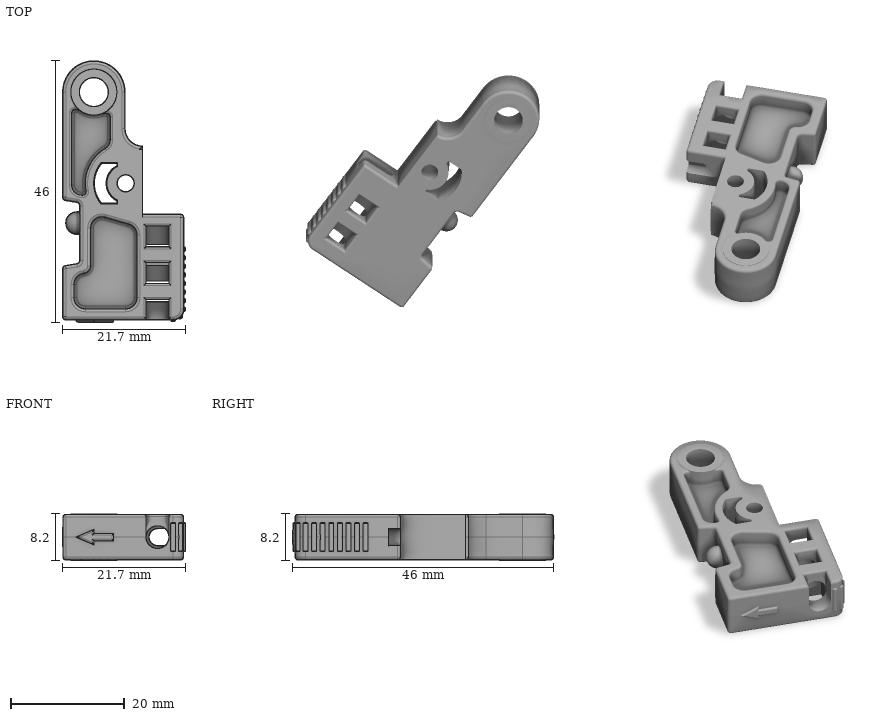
import cadquery as cq
import math


clearance = 1.0

half_thickness = 4.0
draft = 1.0
edge_round = 0.5
arm_radius = 5.5
neck_x = 8.6
neck_y = -9.5
neck_radius = neck_x - arm_radius
block_right = 15.85
block_top = -21.45
front_y = -40.1
corner_round = 0.6
grip_corner_radius = 1.9

notch_x = -2.5
notch_top = -19.5
notch_bottom = -30.1
notch_flare = 0.5

boss_radius = 4.05
boss_half_height = 4.1
bore_diameter = 5.05

pin_x = 5.6
pin_y = -16.05
pin_diameter = 2.95
crescent_outer = 5.5
crescent_inner = 3.45
crescent_half_length = 3.5
crescent_tip_x = -1.55
crescent_tip_round = 0.15
crescent_draft = 2.0

ball_diameter = 4.0
ball_x = -2.95
ball_y = -23.05

pocket_depth = 3.0
pocket_round = 0.5
upper_rim_round = 0.4
upper_left = -3.9
upper_right = 2.9
upper_bottom = -18.15
upper_left_top = -3.05
upper_right_top = -3.75
upper_wall_radius = 7.1
upper_wall_blend = 1.8
upper_end_blend = 0.6
upper_bottom_radius = 1.8
upper_top_radius = 0.6
lower_left = -3.5
lower_inner_left = -0.58
lower_right = 7.6
lower_bottom = -38.15
lower_shelf = -32.15
lower_shelf_rise = 0.42
lower_top_left = -21.3
lower_top_right = -23.65
lower_radius = 2.0
lower_inner_radius = 1.35

channel_x = 11.2
channel_diameter = 4.0
window_length = 3.6
window_pitch = 6.45
first_window_y = -25.4
window_round = 0.4
end_slot_width = 2.95

ridge_radius = 0.45
ridge_height = 0.3
ridge_length = 5.1
ridge_end_chamfer = 0.15
ridge_pitch = 1.51
straight_ridges = 8
corner_ridge_angles = (-45, -90)

arrow_tip_x = -3.15
arrow_head_back_x = 0.0
arrow_end_x = 3.5
arrow_head_half = 1.35
arrow_stem_half = 0.65
arrow_height = 0.42
arrow_round = 0.3
arrow_root = 0.1


def rounded_polygon(corners, z=0.0):
    """Closed wire through (x, y, radius) corners, each blended by a tangent arc."""
    tangents = []
    for i, (x, y, radius) in enumerate(corners):
        here = cq.Vector(x, y, z)
        before = cq.Vector(corners[i - 1][0], corners[i - 1][1], z)
        following = corners[(i + 1) % len(corners)]
        after = cq.Vector(following[0], following[1], z)
        back = (before - here).normalized()
        ahead = (after - here).normalized()
        half_angle = back.getAngle(ahead) / 2
        setback = radius / math.tan(half_angle)
        bisector = (back + ahead).normalized()
        middle = here + bisector * (radius / math.sin(half_angle) - radius)
        tangents.append((here + back * setback, middle, here + ahead * setback, radius))

    edges = []
    tiny = 1e-6
    for i, (start, middle, end, radius) in enumerate(tangents):
        previous_end = tangents[i - 1][2]
        if (start - previous_end).Length > tiny:
            edges.append(cq.Edge.makeLine(previous_end, start))
        if radius > 0:
            edges.append(cq.Edge.makeThreePointArc(start, middle, end))
    return cq.Wire.assembleEdges(edges)


def prism(wire, height, taper=0.0):
    return cq.Workplane("XY").add(wire).toPending().extrude(height, taper=taper)


def both_ways(wire, height, taper):
    """Solid drafted up and down from the parting plane."""
    upper = prism(wire, height, taper)
    return upper.union(upper.mirror("XY"))


def cylinder(x, y, radius, z_low, z_high):
    return cq.Workplane("XY", origin=(x, y, z_low)).circle(radius).extrude(z_high - z_low)


def box(x_low, x_high, y_low, y_high, z_low, z_high):
    size = (x_high - x_low, y_high - y_low, z_high - z_low)
    return cq.Workplane("XY").box(*size, centered=False).translate((x_low, y_low, z_low))


def make_body():
    outline = rounded_polygon([
        (-arm_radius, arm_radius, arm_radius),
        (arm_radius, arm_radius, arm_radius),
        (arm_radius, neck_y, neck_radius),
        (neck_x, neck_y, 0),
        (neck_x, block_top, 0),
        (block_right, block_top, corner_round),
        (block_right, front_y, grip_corner_radius),
        (-arm_radius, front_y, corner_round),
        (-arm_radius, notch_bottom - notch_flare, corner_round),
        (notch_x, notch_bottom, corner_round),
        (notch_x, notch_top, corner_round),
        (-arm_radius, notch_top + notch_flare, corner_round),
    ])
    body = both_ways(outline, half_thickness, draft)
    body = body.faces("|Z").edges().fillet(edge_round)
    draft_inset = half_thickness * math.tan(math.radians(draft))
    neck = box(neck_x - 2 * edge_round, neck_x, block_top - 2 * edge_round, neck_y - draft_inset - edge_round,
               -half_thickness, half_thickness)
    return body.union(neck)


def make_lower_pocket():
    floor = half_thickness - pocket_depth
    outline = rounded_polygon([
        (lower_inner_left, lower_top_left, lower_radius),
        (lower_right, lower_top_right, lower_radius),
        (lower_right, lower_bottom, lower_radius),
        (lower_left, lower_bottom, lower_radius),
        (lower_left, lower_shelf, lower_radius),
        (lower_inner_left, lower_shelf + lower_shelf_rise, lower_inner_radius),
    ], floor)
    return prism(outline, pocket_depth).faces("<Z").edges().fillet(pocket_round)


def make_upper_pocket():
    floor = half_thickness - pocket_depth
    outline = rounded_polygon([
        (upper_left, upper_left_top, upper_top_radius),
        (0, upper_left_top, 0),
        (0, upper_right_top, 0),
        (upper_right, upper_right_top, upper_top_radius),
        (upper_right, upper_bottom, 0),
        (upper_left, upper_bottom, upper_bottom_radius),
    ], floor)
    pocket = prism(outline, pocket_depth)
    pocket = pocket.cut(cylinder(pin_x, pin_y, upper_wall_radius, floor, half_thickness))
    pocket = pocket.cut(cylinder(0, 0, boss_radius, floor, half_thickness))
    shoulder_y = pin_y + math.sqrt(upper_wall_radius**2 - (pin_x - upper_right) ** 2)
    end_x = pin_x - math.sqrt(upper_wall_radius**2 - (pin_y - upper_bottom) ** 2)
    pocket = pocket.edges(cq.NearestToPointSelector((upper_right, shoulder_y, floor + pocket_depth / 2)))
    pocket = pocket.fillet(upper_wall_blend)
    pocket = pocket.edges(cq.NearestToPointSelector((end_x, upper_bottom, floor + pocket_depth / 2)))
    pocket = pocket.fillet(upper_end_blend)
    return pocket.faces("<Z").edges().fillet(pocket_round)


def make_crescent():
    """Window widening from the parting plane: a ring of cones cropped by a flared block."""
    plane = cq.Workplane("XY")
    outer = plane.circle(crescent_outer).extrude(half_thickness, taper=-crescent_draft)
    inner = plane.circle(crescent_inner).extrude(half_thickness, taper=crescent_draft)
    crop_length = crescent_outer + crescent_tip_x + clearance
    crop = (
        plane.center(crescent_tip_x - crop_length / 2, 0)
        .rect(crop_length, 2 * crescent_half_length)
        .extrude(half_thickness, taper=-crescent_draft)
    )
    upper = outer.cut(inner).intersect(crop)
    upper = upper.faces(">X").edges("not #Z").fillet(crescent_tip_round)
    return upper.union(upper.mirror("XY")).translate((pin_x, pin_y, 0))


def top_rims(body):
    return [edge for wire in body.faces(">Z").val().innerWires() for edge in wire.Edges()]


def follows_boss(edge):
    tolerance = 1e-3
    return edge.geomType() == "CIRCLE" and abs(edge.radius() - boss_radius) < tolerance


def cut_pockets(body):
    """Cut both pockets and round their rims, except where the boss closes the upper one."""
    body = body.cut(make_lower_pocket())
    body = body.newObject(top_rims(body)).fillet(pocket_round)
    body = body.cut(make_upper_pocket())
    upper_rim = [
        edge for edge in top_rims(body)
        if edge.Center().y > notch_top and not follows_boss(edge)
    ]
    return body.newObject(upper_rim).fillet(upper_rim_round)


def make_window(center_y, side):
    """Opening from the channel to the top (side 1) or bottom (side -1) face, with a rounded rim."""
    half_width = channel_diameter / 2
    x_low = channel_x - half_width
    x_high = channel_x + half_width
    y_low = center_y - window_length / 2
    y_high = center_y + window_length / 2
    if y_low < front_y + window_round:
        y_low = front_y - clearance
    opening = box(x_low, x_high, y_low, y_high, 0, half_thickness)
    plate = box(x_low - clearance, x_high + clearance, y_low - clearance, y_high + clearance,
                half_thickness - 2 * window_round, half_thickness)
    holed_plate = plate.cut(opening)
    hole_edges = holed_plate.faces(">Z").val().innerWires()[0].Edges()
    holed_plate = holed_plate.newObject(hole_edges).fillet(window_round)
    window = opening.union(plate.cut(holed_plate))
    return window if side > 0 else window.mirror("XY")


def cut_channel(body):
    for i in range(3):
        body = body.cut(make_window(first_window_y - i * window_pitch, 1))
    for i in range(2):
        body = body.cut(make_window(first_window_y - (i + 0.5) * window_pitch, -1))
    start_y = first_window_y + window_length / 2
    bore = (
        cq.Workplane("XZ", origin=(channel_x, start_y, 0))
        .circle(channel_diameter / 2)
        .extrude(start_y - front_y + clearance)
    )
    end_slot = (
        cq.Workplane("XZ", origin=(channel_x, block_top + clearance, 0))
        .circle(end_slot_width / 2)
        .extrude(block_top + clearance - start_y)
    )
    end_slot = end_slot.union(box(
        channel_x, block_right + clearance, start_y, block_top + clearance,
        -end_slot_width / 2, end_slot_width / 2,
    ))
    return body.cut(bore).cut(end_slot)


def make_ridge(x, y, angle):
    """Rounded rib along Z on a wall at (x, y) whose outward normal points along angle."""
    depth = ridge_radius - ridge_height
    ridge = cylinder(-depth, 0, ridge_radius, -ridge_length / 2, ridge_length / 2)
    ridge = ridge.faces("|Z").edges().chamfer(ridge_end_chamfer)
    return ridge.rotate((0, 0, 0), (0, 0, 1), angle).translate((x, y, 0))


def make_grip():
    center_x = block_right - grip_corner_radius
    center_y = front_y + grip_corner_radius
    grip = cq.Workplane("XY")
    for i in range(straight_ridges):
        grip = grip.add(make_ridge(block_right, center_y + i * ridge_pitch, 0))
    for angle in corner_ridge_angles:
        x = center_x + grip_corner_radius * math.cos(math.radians(angle))
        y = center_y + grip_corner_radius * math.sin(math.radians(angle))
        grip = grip.add(make_ridge(x, y, angle))
    return grip


def make_arrow():
    arrow = (
        cq.Workplane("XZ", origin=(0, front_y + arrow_root, 0))
        .moveTo(arrow_tip_x, 0)
        .lineTo(arrow_head_back_x, arrow_head_half)
        .lineTo(arrow_head_back_x, arrow_stem_half)
        .lineTo(arrow_end_x, arrow_stem_half)
        .lineTo(arrow_end_x, -arrow_stem_half)
        .lineTo(arrow_head_back_x, -arrow_stem_half)
        .lineTo(arrow_head_back_x, -arrow_head_half)
        .close()
        .extrude(arrow_root + arrow_height)
    )
    return arrow.faces("<Y").edges().fillet(arrow_round)


def make_detent():
    """Hemisphere on a short shank of the same diameter, sunk into the notch wall."""
    radius = ball_diameter / 2
    shank_length = notch_x - ball_x + edge_round
    diagonal = radius / math.sqrt(2)
    profile = (
        cq.Workplane("XY")
        .moveTo(-radius, 0)
        .threePointArc((-diagonal, diagonal), (0, radius))
        .lineTo(shank_length, radius)
        .lineTo(shank_length, 0)
        .close()
    )
    return profile.revolve(360, (0, 0, 0), (1, 0, 0)).translate((ball_x, ball_y, 0))


result = cut_pockets(make_body())
result = result.union(cylinder(0, 0, boss_radius, -boss_half_height, boss_half_height))
result = result.cut(cylinder(0, 0, bore_diameter / 2, -boss_half_height, boss_half_height))
result = result.cut(cylinder(pin_x, pin_y, pin_diameter / 2, -half_thickness, half_thickness))
result = result.cut(make_crescent())
result = cut_channel(result)
result = result.union(make_detent())
result = result.union(make_arrow())
for ridge in make_grip().solids().vals():
    result = result.union(cq.Workplane(ridge))